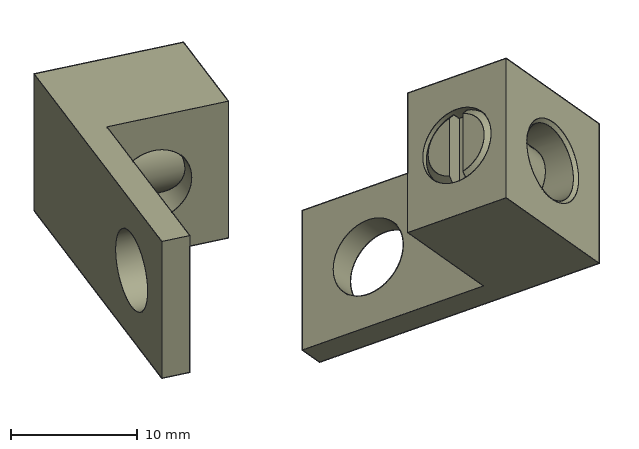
import cadquery as cq
import math

lug_length = 27.0
block_side = 12.7
block_length = 9.5
tongue_thickness = 2.38
stud_hole_diameter = 6.75
stud_hole_x = 20.63

wire_hole_diameter = 6.45
wire_entry_chamfer = 0.3

screw_diameter = 6.6
screw_tip_y = 3.67
dome_height = 1.62
screw_protrusion = 0.1
head_end_diameter = 5.4
slot_width = 1.3
slot_depth = 1.35

mid_height = block_side / 2
block_mid_x = block_length / 2
screw_radius = screw_diameter / 2
screw_head_y = block_side + screw_protrusion
dome_base_y = screw_tip_y + dome_height
dome_radius = (screw_radius**2 + dome_height**2) / (2 * dome_height)


def make_screw_blank():
    """Revolved screw without its slot, also used to clear its seat in the lug."""
    head_end_radius = head_end_diameter / 2
    head_chamfer = screw_radius - head_end_radius
    arc_mid_angle = math.asin(screw_radius / dome_radius) / 2
    arc_mid = (
        dome_radius * math.sin(arc_mid_angle),
        screw_tip_y + dome_radius * (1 - math.cos(arc_mid_angle)),
    )
    profile = (
        cq.Workplane("XY")
        .moveTo(0, screw_tip_y)
        .threePointArc(arc_mid, (screw_radius, dome_base_y))
        .lineTo(screw_radius, screw_head_y - head_chamfer)
        .lineTo(head_end_radius, screw_head_y)
        .lineTo(0, screw_head_y)
        .close()
    )
    blank = profile.revolve(360, (0, 0, 0), (0, 1, 0))
    return blank.translate((block_mid_x, 0, mid_height))


def make_screw():
    """Clamping screw with a driver slot running along Z."""
    slot = (
        cq.Workplane("XY")
        .box(slot_width, slot_depth, screw_diameter)
        .translate((block_mid_x, screw_head_y - slot_depth / 2, mid_height))
    )
    return make_screw_blank().cut(slot)


def make_wire_hole():
    """Cutter through the block along X, flared at the -X face."""
    hole_radius = wire_hole_diameter / 2
    profile = (
        cq.Workplane("XY")
        .moveTo(0, 0)
        .lineTo(0, hole_radius + wire_entry_chamfer)
        .lineTo(wire_entry_chamfer, hole_radius)
        .lineTo(block_length, hole_radius)
        .lineTo(block_length, 0)
        .close()
    )
    cutter = profile.revolve(360, (0, 0, 0), (1, 0, 0))
    return cutter.translate((0, block_side / 2, mid_height))


def make_screw_bore():
    """Plain cylinder from the +Y face down to the base of the screw's dome."""
    return (
        cq.Workplane("XZ", origin=(block_mid_x, block_side, mid_height))
        .circle(screw_radius)
        .extrude(block_side - dome_base_y)
    )


def make_stud_hole():
    """Cutter through the tongue along Y."""
    return (
        cq.Workplane("XZ", origin=(stud_hole_x, tongue_thickness, mid_height))
        .circle(stud_hole_diameter / 2)
        .extrude(tongue_thickness)
    )


def make_lug():
    """L-shaped lug with its wire hole, screw bore and stud hole."""
    body = (
        cq.Workplane("XY")
        .moveTo(0, 0)
        .lineTo(lug_length, 0)
        .lineTo(lug_length, tongue_thickness)
        .lineTo(block_length, tongue_thickness)
        .lineTo(block_length, block_side)
        .lineTo(0, block_side)
        .close()
        .extrude(block_side)
    )
    return (
        body.cut(make_wire_hole())
        .cut(make_screw_bore())
        .cut(make_screw_blank())
        .cut(make_stud_hole())
    )


lug = make_lug()
screw = make_screw()
result = cq.Compound.makeCompound([lug.val(), screw.val()])